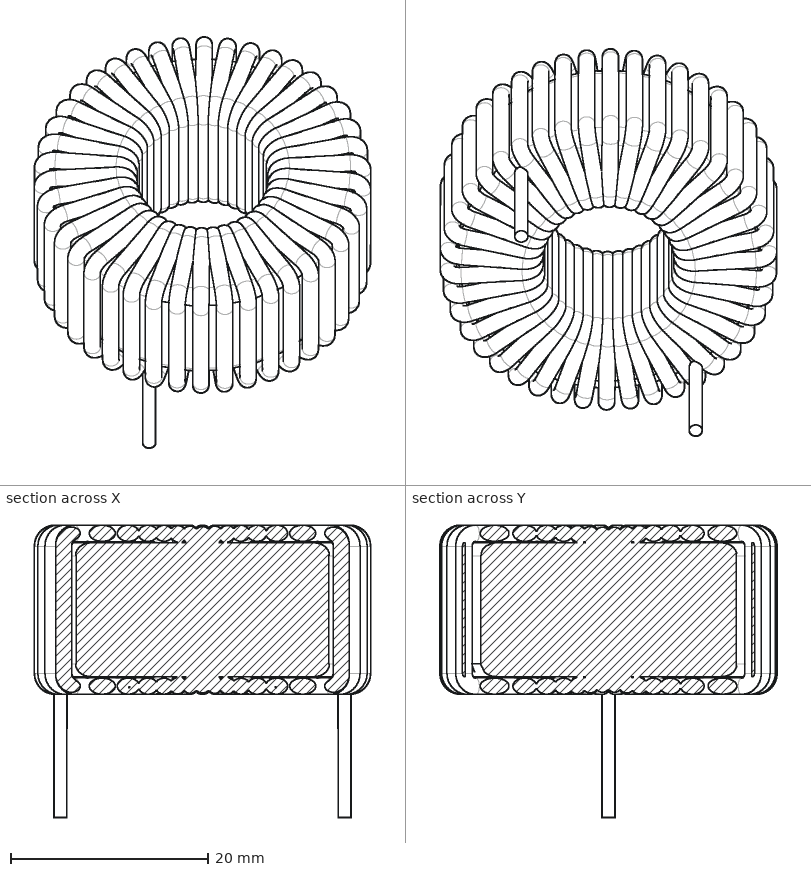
import cadquery as cq


loop_count = 42
wire_diameter = 1.68
winding_outer_diameter = 34.2
winding_inner_diameter = 13.25
winding_height = 17.15
bend_radius = 1.3

core_outer_diameter = 30.45
core_bore_diameter = 16.07
core_height = 13.6
core_edge_radius = 1.35

lead_diameter = 1.35
lead_offset = 14.4
lead_overlap = 0.45
overall_height = 29.65

wire_radius = wire_diameter / 2
loop_outer = winding_outer_diameter / 2 - wire_radius
loop_inner = winding_inner_diameter / 2 + wire_radius
loop_height = winding_height - wire_diameter
lead_length = overall_height - winding_height + lead_overlap
lead_bottom = winding_height / 2 - overall_height


def make_core():
    """Ring with rounded outer edges; its bore wall sinks into the inner legs of the turns."""
    disc = cq.Workplane("XY", origin=(0, 0, -core_height / 2)).circle(core_outer_diameter / 2)
    disc = disc.extrude(core_height).edges("%CIRCLE").fillet(core_edge_radius)
    return disc.faces(">Z").workplane().circle(core_bore_diameter / 2).cutThruAll()


def make_loop():
    """One closed turn of round wire in the XZ plane, on the +X side of the ring."""
    leg_top = loop_height / 2 - bend_radius
    bend_outer = loop_outer - bend_radius
    bend_inner = loop_inner + bend_radius
    path = (
        cq.Workplane("XZ")
        .moveTo(loop_outer, -leg_top)
        .lineTo(loop_outer, leg_top)
        .tangentArcPoint((bend_outer, loop_height / 2), relative=False)
        .lineTo(bend_inner, loop_height / 2)
        .tangentArcPoint((loop_inner, leg_top), relative=False)
        .lineTo(loop_inner, -leg_top)
        .tangentArcPoint((bend_inner, -loop_height / 2), relative=False)
        .lineTo(bend_outer, -loop_height / 2)
        .tangentArcPoint((loop_outer, -leg_top), relative=False)
        .close()
    )
    return cq.Workplane("XY", origin=(loop_outer, 0, -leg_top)).circle(wire_radius).sweep(path)


def make_winding():
    """All turns, spread evenly around the ring and overlapping along the bore."""
    loop = make_loop().val()
    pitch = 360 / loop_count
    turns = [loop.rotate((0, 0, 0), (0, 0, 1), i * pitch) for i in range(loop_count)]
    return turns[0].fuse(*turns[1:])


def make_leads():
    """Two straight pins on the Y axis, hanging from the two turns beside each of them."""
    return (
        cq.Workplane("XY", origin=(0, 0, lead_bottom))
        .pushPoints([(0, -lead_offset), (0, lead_offset)])
        .circle(lead_diameter / 2)
        .extrude(lead_length)
    )


result = make_core().union(make_leads()).union(cq.Workplane(make_winding()))